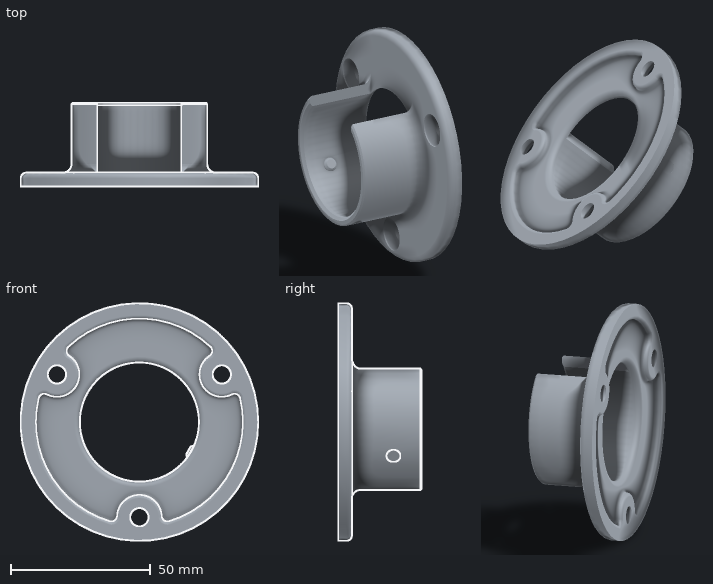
import cadquery as cq
import math

flange_diameter = 85.0
flange_thickness = 5.0
rim_fillet = 2.0

overall_depth = 30.0
bore_radius = 21.25
collar_radius = 24.3
collar_root_fillet = 3.0
collar_outer_chamfer = 0.6
collar_inner_chamfer = 1.0
collar_gap_width = 30.0

hole_count = 3
hole_circle_radius = 34.0
hole_diameter = 6.5
first_hole_angle = -90.0
countersink_diameter = 12.0
countersink_land = 0.5
countersink_angle = 90.0
pad_radius = 8.0

recess_radius = 37.0
recess_corner_radius = 2.0
recess_edge_fillet = 1.2
recess_depth = 2.5
bore_mouth_fillet = 2.0

screw_angle = -30.0
screw_y = 19.8
screw_diameter = 5.0
screw_tip_chamfer = 0.85
screw_tip_reach = 20.2
screw_end_inset = 0.2
screw_direction = cq.Vector(math.cos(math.radians(screw_angle)), 0, math.sin(math.radians(screw_angle)))


def cylinder(radius, y_start, y_end):
    """Cylinder about the Y axis between two Y positions."""
    return cq.Workplane("XZ", origin=(0, y_start, 0)).circle(radius).extrude(y_start - y_end)


def cone(start_radius, end_radius, y_start, y_end):
    """Truncated cone about the Y axis between two Y positions."""
    return cq.Workplane(
        cq.Solid.makeCone(
            start_radius,
            end_radius,
            y_end - y_start,
            pnt=cq.Vector(0, y_start, 0),
            dir=cq.Vector(0, 1, 0),
        )
    )


def hole_centres():
    """(x, z) of every screw hole."""
    angles = [math.radians(first_hole_angle + i * 360.0 / hole_count) for i in range(hole_count)]
    return [(hole_circle_radius * math.cos(a), hole_circle_radius * math.sin(a)) for a in angles]


def make_collar():
    """Solid collar with a concave root flare, its outer end chamfered, cut open on the +Z side."""
    root_radius = collar_radius + collar_root_fillet
    root_end = flange_thickness + collar_root_fillet
    arc_offset = collar_root_fillet * (1 - math.sqrt(0.5))
    profile = (
        cq.Workplane("XY")
        .moveTo(0, 0)
        .lineTo(root_radius, 0)
        .lineTo(root_radius, flange_thickness)
        .threePointArc(
            (collar_radius + arc_offset, flange_thickness + arc_offset),
            (collar_radius, root_end),
        )
        .lineTo(collar_radius, overall_depth - collar_outer_chamfer)
        .lineTo(collar_radius - collar_outer_chamfer, overall_depth)
        .lineTo(0, overall_depth)
        .close()
    )
    collar = profile.revolve(360, (0, 0, 0), (0, 1, 0))
    gap = cq.Workplane("XY").box(
        collar_gap_width, overall_depth, flange_diameter, centered=(True, False, False)
    )
    return collar.cut(gap.translate((0, flange_thickness, 0)))


def make_recess():
    """Recess volume: a disc interrupted by the round pads, with rounded corners and floor edge."""
    recess = cylinder(recess_radius, 0, recess_depth)
    for x, z in hole_centres():
        recess = recess.cut(cylinder(pad_radius, 0, recess_depth).translate((x, 0, z)))
    recess = recess.edges("|Y").fillet(recess_corner_radius)
    return recess.faces(">Y").edges().fillet(recess_edge_fillet)


def make_countersunk_hole(x, z):
    """Hole through the flange, countersunk from the back with a short straight land at the mouth."""
    hole_radius = hole_diameter / 2
    mouth_radius = countersink_diameter / 2
    cone_depth = (mouth_radius - hole_radius) / math.tan(math.radians(countersink_angle / 2))
    cone_end = flange_thickness - countersink_land
    hole = cylinder(hole_radius, 0, flange_thickness)
    hole = hole.union(cone(hole_radius, mouth_radius, cone_end - cone_depth, cone_end))
    hole = hole.union(cylinder(mouth_radius, cone_end, flange_thickness))
    return hole.translate((x, 0, z))


def make_screw_blank(end_radius):
    """Plain cylinder along the clamping screw axis, from the tip in the bore out to end_radius."""
    tip = screw_direction * screw_tip_reach + cq.Vector(0, screw_y, 0)
    tip_plane = cq.Plane(origin=tip, xDir=(0, 1, 0), normal=screw_direction)
    return cq.Workplane(tip_plane).circle(screw_diameter / 2).extrude(end_radius - screw_tip_reach)


def make_flange():
    """Flange and collar in one piece, with recess, bore, screw holes and clamping screw hole."""
    disc = cylinder(flange_diameter / 2, 0, flange_thickness).faces(">Y").edges().fillet(rim_fillet)
    flange = disc.union(make_collar()).cut(make_recess())

    recess_edge = flange.faces("<Y").val().innerWires()[0].Edges()
    flange = flange.newObject(recess_edge).fillet(recess_edge_fillet)

    bore = cylinder(bore_radius, 0, overall_depth)
    flange = flange.cut(bore)
    bore_mouth = cq.selectors.NearestToPointSelector((0, recess_depth, 0))
    flange = flange.edges("%CIRCLE").edges(bore_mouth).fillet(bore_mouth_fillet)
    end_start = overall_depth - collar_inner_chamfer
    end_radius = bore_radius + collar_inner_chamfer
    flange = flange.cut(cone(bore_radius, end_radius, end_start, overall_depth))

    for x, z in hole_centres():
        flange = flange.cut(make_countersunk_hole(x, z))
    return flange.cut(make_screw_blank(collar_radius))


def make_clamping_screw():
    """Headless screw filling its hole, its conical tip standing into the bore."""
    blank = make_screw_blank(collar_radius - screw_end_inset)
    tip_face = cq.selectors.DirectionMinMaxSelector(screw_direction, directionMax=False)
    return blank.faces(tip_face).chamfer(screw_tip_chamfer)


flange = make_flange()
clamping_screw = make_clamping_screw()

result = cq.Compound.makeCompound([flange.val(), clamping_screw.val()])